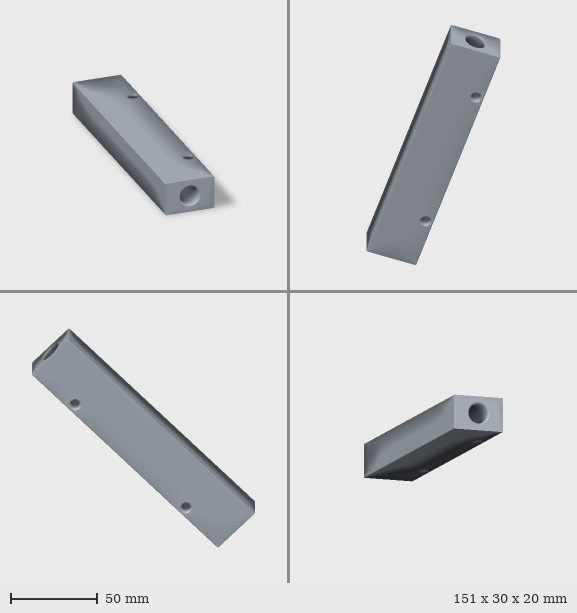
import cadquery as cq

length = 151.0
width = 30.0
height = 20.0
edge_chamfer = 0.3

bore_diameter = 11.5
bore_mouth_diameter = 13.1

hole_diameter = 5.0
hole_mouth_diameter = 7.0
hole_spacing = 90.0
hole_edge_distance = 4.5


def countersunk_cutter(diameter, mouth_diameter, depth):
    """Through-hole cutter centred on the origin along Z, with a 45 degree cone at each end."""
    cone_depth = (mouth_diameter - diameter) / 2
    radius = diameter / 2
    mouth_radius = mouth_diameter / 2
    half_depth = depth / 2
    profile = [
        (0, -half_depth),
        (mouth_radius, -half_depth),
        (radius, -half_depth + cone_depth),
        (radius, half_depth - cone_depth),
        (mouth_radius, half_depth),
        (0, half_depth),
    ]
    return cq.Workplane("XZ").polyline(profile).close().revolve(360, (0, 0), (0, 1))


block = cq.Workplane("XY").box(length, width, height).edges("|X").chamfer(edge_chamfer)

bore = countersunk_cutter(bore_diameter, bore_mouth_diameter, length)
result = block.cut(bore.rotate((0, 0, 0), (0, 1, 0), 90))

hole = countersunk_cutter(hole_diameter, hole_mouth_diameter, height)
hole_y = width / 2 - hole_edge_distance
for hole_x in (-hole_spacing / 2, hole_spacing / 2):
    result = result.cut(hole.translate((hole_x, hole_y, 0)))